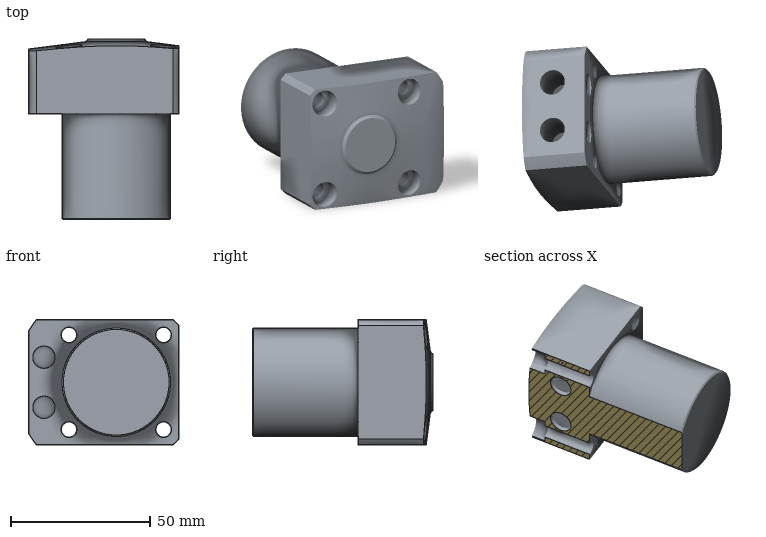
import cadquery as cq


block_left = -31.5
block_right = 22.5
block_half_height = 22.5
left_corner_radius = 36.5
right_corner_radius = 30.4

boss_face_y = 27.0
boss_height = 1.0
boss_face_radius = 10.0
boss_base_radius = boss_face_radius + boss_height
cone_start_y = boss_face_y - boss_height
cone_rim_y = 22.7

barrel_diameter = 39.0
barrel_length = 38.0
barrel_chamfer = 0.5

mount_offset = 17.0
mount_diameter = 5.5
counterbore_diameter = 9.5
counterbore_floor_y = 18.5

port_z = 9.0
face_port_x = -26.0
face_port_diameter = 8.0
face_port_depth = 1.5
side_port_y = 12.0
side_port_mouth_diameter = 9.2
side_port_depth = 16.0
side_port_taper = 1 / 16
side_port_floor_diameter = side_port_mouth_diameter - side_port_taper * side_port_depth


def cylinder_along_y(x, z, diameter, start_y, end_y):
    """Cylinder parallel to Y between two Y positions."""
    return cq.Workplane(
        cq.Solid.makeCylinder(
            diameter / 2, end_y - start_y, cq.Vector(x, start_y, z), cq.Vector(0, 1, 0)
        )
    )


def turned_slice(radius, start_x, end_x):
    """Full-height slice of a cylinder about the barrel axis between two X positions."""
    slice_box = cq.Workplane("XY").box(
        end_x - start_x, boss_face_y, 2 * block_half_height, centered=(False, False, True)
    )
    slice_box = slice_box.translate((start_x, 0, 0))
    return slice_box.intersect(cylinder_along_y(0, 0, 2 * radius, 0, boss_face_y))


def make_block():
    """Block with corners turned about the barrel axis and a conical back with a boss."""
    left_half = turned_slice(left_corner_radius, block_left, 0)
    right_half = turned_slice(right_corner_radius, 0, block_right)
    turned_envelope = (
        cq.Workplane("XY")
        .lineTo(left_corner_radius, 0)
        .lineTo(left_corner_radius, cone_rim_y)
        .lineTo(boss_base_radius, cone_start_y)
        .lineTo(boss_face_radius, boss_face_y)
        .lineTo(0, boss_face_y)
        .close()
        .revolve(360, (0, 0, 0), (0, 1, 0))
    )
    return left_half.union(right_half).intersect(turned_envelope)


def make_barrel():
    """Round barrel with a chamfered free end."""
    barrel = cylinder_along_y(0, 0, barrel_diameter, -barrel_length, 0)
    return barrel.faces("<Y").chamfer(barrel_chamfer)


def cut_mounting_holes(body):
    """Four through holes on a square, counterbored from the conical back."""
    for x in (-mount_offset, mount_offset):
        for z in (-mount_offset, mount_offset):
            body = body.cut(cylinder_along_y(x, z, mount_diameter, 0, boss_face_y))
            body = body.cut(
                cylinder_along_y(x, z, counterbore_diameter, counterbore_floor_y, boss_face_y)
            )
    return body


def cut_face_ports(body):
    """Two shallow round recesses in the barrel-side face."""
    for z in (-port_z, port_z):
        body = body.cut(cylinder_along_y(face_port_x, z, face_port_diameter, 0, face_port_depth))
    return body


def cut_side_ports(body):
    """Two blind tapered ports in the -X side."""
    mouth_radius = side_port_mouth_diameter / 2
    floor_radius = side_port_floor_diameter / 2
    inward = cq.Vector(1, 0, 0)
    for z in (-port_z, port_z):
        mouth = cq.Vector(block_left, side_port_y, z)
        bore = cq.Solid.makeCone(mouth_radius, floor_radius, side_port_depth, mouth, inward)
        body = body.cut(cq.Workplane(bore))
    return body


result = make_block().union(make_barrel())
result = cut_mounting_holes(result)
result = cut_face_ports(result)
result = cut_side_ports(result)